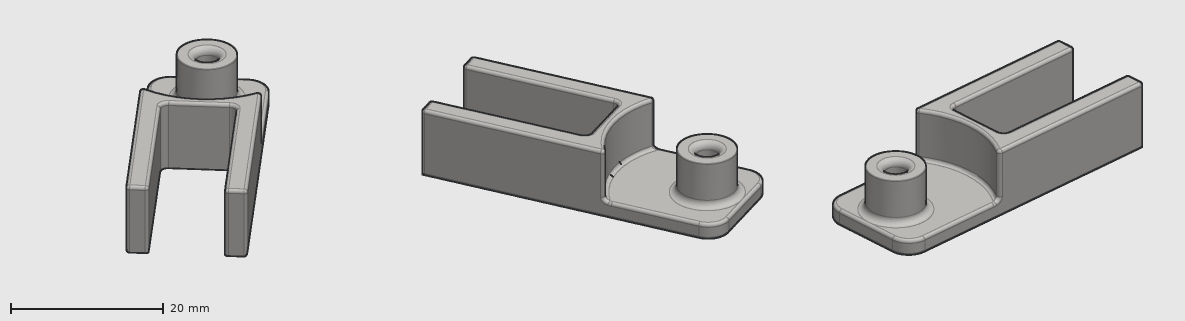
import cadquery as cq

turn_angle = -33.8
length = 43.25
width = 16.0
height = 10.0
plate_thickness = 2.5
corner_radius = 3.0
boss_setback = 5.5

boss_diameter = 8.0
boss_height = 9.0
boss_base_fillet = 1.0
boss_rim_fillet = 0.1
bore_diameter = 3.0
bore_mouth_fillet = 1.0

wall_radius = 13.5
wall_base_fillet = 0.52
edge_fillet = 0.5

arm_width = 3.0
slot_start = 14.9
slot_corner_radius = 1.0

end_x = length - boss_setback
slot_width = width - 2 * arm_width
slot_length = end_x - slot_start
clearance = 2.18
tolerance = 0.005


def make_body():
    """Rounded block with the plate step and the fork slot cut out."""
    block = cq.Workplane("XY").box(length, width, height, centered=(False, True, False))
    block = block.translate((-boss_setback, 0, 0))
    block = block.edges("|Z and <X").fillet(corner_radius)

    step = cq.Workplane("XY").workplane(offset=plate_thickness).circle(wall_radius).extrude(height)

    slot = cq.Workplane("XY").box(
        slot_length + clearance, slot_width, height + 2 * clearance, centered=(False, True, False)
    )
    slot = slot.edges("|Z and <X").fillet(slot_corner_radius)
    return block.cut(step).cut(slot.translate((slot_start, 0, -clearance)))


def fillet_wall_foot(body):
    """Fillet the concave corner between the plate and the step wall."""
    foot = [
        edge
        for edge in body.edges("%CIRCLE").vals()
        if abs(edge.radius() - wall_radius) < tolerance
        and abs(edge.Center().z - plate_thickness) < tolerance
    ]
    return body.newObject(foot).fillet(wall_base_fillet)


def is_flat_at(edge, z):
    """True when the whole edge lies at height z."""
    box = edge.BoundingBox()
    return abs(box.zmin - z) < tolerance and abs(box.zmax - z) < tolerance


def needs_fillet(edge):
    """True for the top, plate and lower outlines and for the upright end and wall edges."""
    box = edge.BoundingBox()
    in_slot = box.xmin > slot_start - tolerance and max(box.ymax, -box.ymin) < slot_width / 2 + tolerance
    at_arm_end = box.xmin > end_x - tolerance
    wall_foot_arc = edge.geomType() == "CIRCLE" and edge.Center().x > 0

    if is_flat_at(edge, height):
        return True
    if is_flat_at(edge, 0):
        return not in_slot and not at_arm_end
    if is_flat_at(edge, plate_thickness) or is_flat_at(edge, plate_thickness + wall_base_fillet):
        return not wall_foot_arc
    return at_arm_end or box.zmin > tolerance


def round_edges(body):
    """Fillet the outer edges, leaving the wall foot and the lower slot edges alone."""
    outer_edges = [edge for edge in body.edges().vals() if needs_fillet(edge)]
    return body.newObject(outer_edges).fillet(edge_fillet)


def add_boss(body):
    """Boss with a flared foot and a through bore with a rounded mouth."""
    boss_radius = boss_diameter / 2
    bore_radius = bore_diameter / 2
    foot_top = plate_thickness + boss_base_fillet
    mouth_bottom = boss_height - bore_mouth_fillet
    profile = (
        cq.Workplane("XZ")
        .moveTo(0, 0)
        .lineTo(boss_radius, 0)
        .lineTo(boss_radius + boss_base_fillet, plate_thickness)
        .radiusArc((boss_radius, foot_top), boss_base_fillet)
        .lineTo(boss_radius, boss_height)
        .lineTo(0, boss_height)
        .close()
    )
    boss = profile.revolve(360, (0, 0, 0), (0, 1, 0))
    boss = boss.faces(">Z").edges().fillet(boss_rim_fillet)
    bore = (
        cq.Workplane("XZ")
        .moveTo(0, 0)
        .lineTo(bore_radius, 0)
        .lineTo(bore_radius, mouth_bottom)
        .radiusArc((bore_radius + bore_mouth_fillet, boss_height), bore_mouth_fillet)
        .lineTo(0, boss_height)
        .close()
        .revolve(360, (0, 0, 0), (0, 1, 0))
    )
    return body.union(boss).cut(bore)


body = round_edges(fillet_wall_foot(make_body()))
result = add_boss(body).rotate((0, 0, 0), (0, 0, 1), turn_angle)